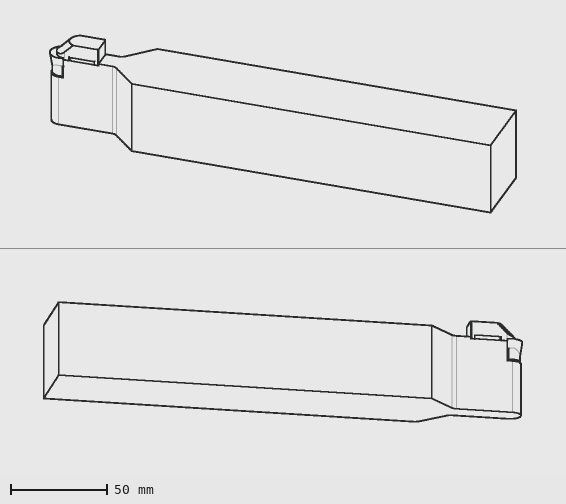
import cadquery as cq
import math

length = 250.0
shank_width = 40.0
shank_height = 40.0
blade_width = 11.2
blade_nose_x = 0.8
shoulder_x = 52.0
neck_fillet = 3.5

clamp_top = 48.5
clamp_end_x = 28.5
clamp_nose_x = 3.8
clamp_top_start_x = 10.8
clamp_corner_chamfer = 0.5
ramp_radius = 6.2
clamp_width = 11.5

slot_floor = 39.0
slot_roof = 41.0
slot_start_x = 12.2
slot_end_x = 26.2

insert_radius = 6.5
insert_top = shank_height
insert_back_x = 9.0
seat_z = 28.2
clearance_slope = 0.16
clearance_depth = 9.5
post_half_length = 5.2
post_half_width = 5.8
post_chamfer = 0.8

margin = 2.5


def round_nosed_bar(nose_x, end_x, width, bottom, top):
    """Upright bar along X whose front end is a half cylinder."""
    radius = width / 2
    center_x = nose_x + radius
    return (
        cq.Workplane("XY", origin=(0, 0, bottom))
        .moveTo(center_x, radius)
        .threePointArc((nose_x, 0), (center_x, -radius))
        .lineTo(end_x, -radius)
        .lineTo(end_x, radius)
        .close()
        .extrude(top - bottom)
    )


def box_between(x_range, width, z_range):
    """Box centred on Y = 0 between the given X and Z limits."""
    return (
        cq.Workplane("XY", origin=(x_range[0], 0, z_range[0]))
        .rect(x_range[1] - x_range[0], width)
        .extrude(z_range[1] - z_range[0])
        .translate(((x_range[1] - x_range[0]) / 2, 0, 0))
    )


def make_shank():
    """Square shank narrowing through 45 degree flanks to the blade."""
    half_width = shank_width / 2
    half_blade = blade_width / 2
    neck_x = shoulder_x - (half_width - half_blade)
    shank = (
        cq.Workplane("XY")
        .moveTo(neck_x, half_blade)
        .lineTo(shoulder_x, half_width)
        .lineTo(length, half_width)
        .lineTo(length, -half_width)
        .lineTo(shoulder_x, -half_width)
        .lineTo(neck_x, -half_blade)
        .close()
        .extrude(shank_height)
    )
    blade = round_nosed_bar(blade_nose_x, shoulder_x, blade_width, 0, shank_height)
    neck_edges = cq.selectors.BoxSelector(
        (neck_x - margin, -half_blade - margin, -margin),
        (neck_x + margin, half_blade + margin, shank_height + margin),
    )
    return shank.union(blade).edges("|Z").edges(neck_edges).fillet(neck_fillet)


def make_clamp():
    """Clamp finger: round nose, crowned 45 degree ramp and flat top."""
    finger = round_nosed_bar(clamp_nose_x, clamp_end_x, clamp_width, slot_floor, clamp_top)
    finger = finger.edges("|Z and >X").chamfer(clamp_corner_chamfer)

    drop = clamp_top - slot_floor
    base_x = clamp_top_start_x - drop
    half_width = clamp_width / 2
    sag = ramp_radius - math.sqrt(ramp_radius**2 - half_width**2)
    ramp_path = cq.Workplane("XZ").moveTo(base_x, slot_floor).lineTo(clamp_top_start_x, clamp_top)
    crowned_ramp = (
        cq.Workplane("XY", origin=(0, 0, slot_floor))
        .moveTo(base_x + sag, half_width)
        .threePointArc((base_x, 0), (base_x + sag, -half_width))
        .lineTo(base_x + clamp_end_x, -half_width)
        .lineTo(base_x + clamp_end_x, half_width)
        .close()
        .sweep(ramp_path)
    )
    back = box_between((clamp_end_x / 2, clamp_end_x), clamp_width, (slot_floor, clamp_top))
    return finger.intersect(crowned_ramp.union(back))


def make_holder():
    """Shank with its clamp finger, slot and insert pocket."""
    recess = box_between((insert_back_x, clamp_end_x), shank_width, (slot_floor, shank_height))
    pocket = box_between((-margin, insert_back_x), shank_width, (seat_z, insert_top))
    slot = box_between((slot_start_x, slot_end_x), shank_width, (slot_floor, slot_roof))
    return make_shank().cut(recess).union(make_clamp()).cut(slot).cut(pocket)


def make_post(front):
    """Elliptic post with a flat back, chamfered around its back and bottom."""
    post = (
        cq.Workplane("XY", origin=(insert_radius, 0, seat_z))
        .ellipse(post_half_length, post_half_width)
        .extrude(insert_top - seat_z)
        .intersect(front)
    )
    return post.faces("<Z or >X").edges("not >Z").chamfer(post_chamfer)


def make_insert():
    """Round cutting edge with conical clearance on its post."""
    front = box_between((-margin, insert_back_x), shank_width, (seat_z, insert_top))
    cone = cq.Workplane("XY").add(
        cq.Solid.makeCone(
            insert_radius - clearance_slope * clearance_depth,
            insert_radius,
            clearance_depth,
            pnt=cq.Vector(insert_radius, 0, insert_top - clearance_depth),
        )
    )
    return make_post(front).union(cone.intersect(front))


holder = make_holder()
insert = make_insert()
result = cq.Compound.makeCompound([holder.val(), insert.val()])